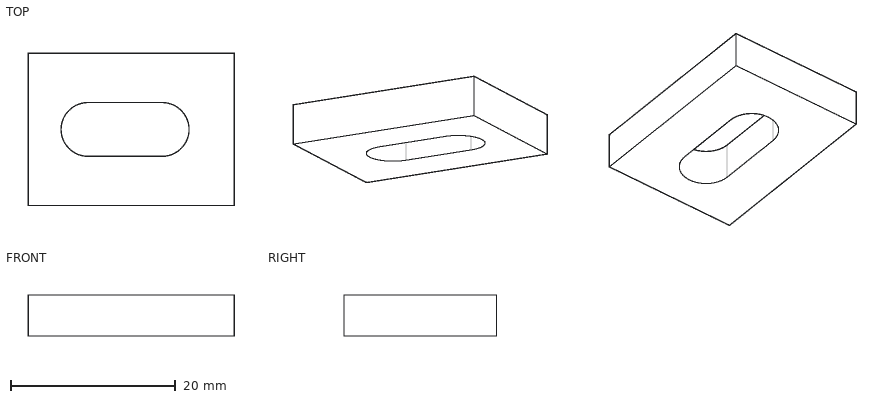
import cadquery as cq

plate_length = 25.0
plate_width = 18.5
plate_thickness = 5.0

slot_width = 6.5
slot_travel = 9.0
slot_end_margin = 4.0
slot_length = slot_travel + slot_width
slot_center_x = -plate_length / 2 + slot_end_margin + slot_length / 2


def make_plate():
    """Rectangular plate centred on the origin."""
    return cq.Workplane("XY").box(plate_length, plate_width, plate_thickness)


def cut_slot(body):
    """Cut the slot, off centre towards -X, through the full thickness."""
    return (
        body.faces(">Z")
        .workplane(origin=(slot_center_x, 0, 0))
        .slot2D(slot_length, slot_width)
        .cutThruAll()
    )


result = cut_slot(make_plate())